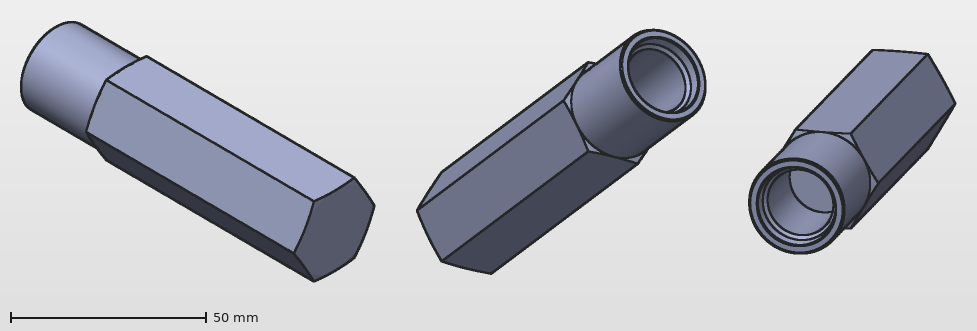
import cadquery as cq
import math

total_length = 101.6
across_flats = 25.4
collar_length = 25.4
collar_chamfer = 0.4
hex_chamfer_angle = 15.0

mouth_diameter = 21.1
mouth_chamfer = 0.25
taper_end_diameter = 19.5
taper_half_angle = 12.0
bore_diameter = 17.5
seat_half_angle = 45.0
bore_depth = collar_length

across_corners = across_flats / math.cos(math.radians(30))
collar_end_x = -total_length / 2
shoulder_x = collar_end_x + collar_length
hex_end_x = total_length / 2
hex_length = hex_end_x - shoulder_x


def revolve_about_x(points):
    """Revolve a closed (x, radius) outline about the X axis."""
    return cq.Workplane("XY").polyline(points).close().revolve(360, (0, 0, 0), (1, 0, 0))


def cone_length(large_radius, small_radius, half_angle):
    """Axial length of a cone between two radii, its half angle given in degrees."""
    return (large_radius - small_radius) / math.tan(math.radians(half_angle))


def make_hex_body():
    """Hexagonal bar with corners on +Y and -Y and turned chamfers at both ends."""
    bar = cq.Workplane("YZ", origin=(shoulder_x, 0, 0)).polygon(6, across_corners).extrude(hex_length)
    flat_radius = across_flats / 2
    corner_radius = across_corners / 2
    chamfer_length = (corner_radius - flat_radius) * math.tan(math.radians(hex_chamfer_angle))
    turned_envelope = revolve_about_x([
        (shoulder_x, 0),
        (shoulder_x, flat_radius),
        (shoulder_x + chamfer_length, corner_radius),
        (hex_end_x - chamfer_length, corner_radius),
        (hex_end_x, flat_radius),
        (hex_end_x, 0),
    ])
    return bar.intersect(turned_envelope)


def make_collar():
    """Round collar, as wide as the flats, chamfered at its free end."""
    collar = cq.Workplane("YZ", origin=(collar_end_x, 0, 0)).circle(across_flats / 2).extrude(collar_length)
    return collar.faces("<X").chamfer(collar_chamfer)


def make_bore():
    """Chamfered mouth, shallow taper, conical seat and flat-bottomed bore."""
    mouth_radius = mouth_diameter / 2
    taper_start_radius = mouth_radius - mouth_chamfer
    taper_end_radius = taper_end_diameter / 2
    bore_radius = bore_diameter / 2
    taper_x = collar_end_x + mouth_chamfer
    seat_x = taper_x + cone_length(taper_start_radius, taper_end_radius, taper_half_angle)
    bore_x = seat_x + cone_length(taper_end_radius, bore_radius, seat_half_angle)
    bottom_x = collar_end_x + bore_depth
    return revolve_about_x([
        (collar_end_x, 0),
        (collar_end_x, mouth_radius),
        (taper_x, taper_start_radius),
        (seat_x, taper_end_radius),
        (bore_x, bore_radius),
        (bottom_x, bore_radius),
        (bottom_x, 0),
    ])


result = make_hex_body().union(make_collar()).cut(make_bore())